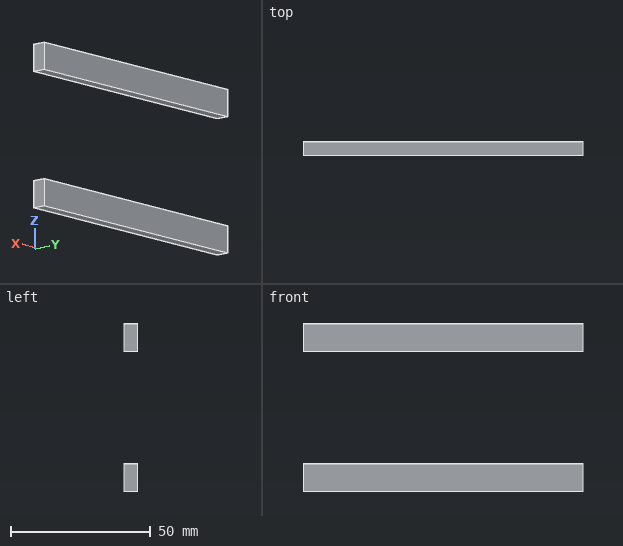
import cadquery as cq

bar_length = 100.0
bar_thickness = 5.0
bar_height = 10.0
bar_pitch = 50.0
bar_count = 2


def make_bar(center_z):
    """Plain rectangular bar lying along X, centred at the given height."""
    return (
        cq.Workplane("XY")
        .box(bar_length, bar_thickness, bar_height)
        .translate((0, 0, center_z))
    )


lowest_center_z = -bar_pitch * (bar_count - 1) / 2
bars = []
for index in range(bar_count):
    bars.append(make_bar(lowest_center_z + index * bar_pitch))

result = cq.Compound.makeCompound([bar.val() for bar in bars])